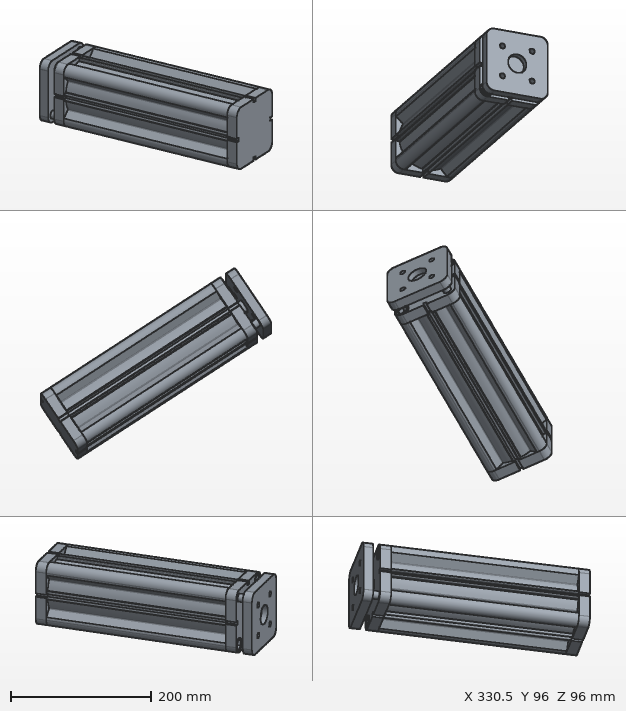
import cadquery as cq
import math

LENGTH = 330.5
SIDE = 96.0
CORNER_RADIUS = 12.0
TOP = SIDE / 2
CORNER_CENTRE = TOP - CORNER_RADIUS

PLATE_THICKNESS = 14.2
CAP_START = 24.0
CAP_THICKNESS = 16.2
BARREL_START = CAP_START + CAP_THICKNESS
BARREL_END = LENGTH - CAP_THICKNESS
BARREL_LENGTH = BARREL_END - BARREL_START
ROD_LENGTH = BARREL_START - PLATE_THICKNESS

PLATE_BORE_RADIUS = 14.2
PLATE_BORE_DEPTH = 9.3
MOUNTING_HOLE_RADIUS = 4.0
MOUNTING_HOLE_OFFSET = 23.0

GUIDE_RADIUS = 6.0
PISTON_ROD_RADIUS = 10.5
FLAT_DISTANCE = 9.0
FLAT_END = 20.0
FLAT_RUNOUT_END = 20.8

CAP_SLOT_WIDTH = 5.3
CAP_SLOT_DEPTH = 5.3
SCREW_RECESS_RADIUS = 10.0
SCREW_RECESS_DEPTH = 0.5
HEX_ACROSS_FLATS = 14.0
HEX_DEPTH = 7.5

TUBE_RADIUS = 42.5
VALLEY_OFFSET = 22.0
VALLEY_ROUND = 0.83
LOBE_EDGE = 32.0
CHANNEL_WIDTH = 13.2
CHANNEL_FLOOR = 41.5
LIP_OUTER_WIDTH = 11.2
LIP_TOP = 46.0
LIP_ROUND = 0.83
SLOT_WIDTH = 5.3
SLOT_FLOOR = 41.3

GUIDE_POINTS = [(sign * CORNER_CENTRE, sign * CORNER_CENTRE) for sign in (-1, 1)]
SCREW_POINTS = [(sign * CORNER_CENTRE, -sign * CORNER_CENTRE) for sign in (-1, 1)]
MOUNTING_POINTS = [
    (y_sign * MOUNTING_HOLE_OFFSET, z_sign * MOUNTING_HOLE_OFFSET)
    for y_sign in (-1, 1)
    for z_sign in (-1, 1)
]
SIDE_ANGLES = [0, 90, 180, 270]


def section(x):
    """Workplane across the part at x, with its local axes along Y and Z."""
    return cq.Workplane("YZ", origin=(x, 0, 0))


def rounded_block(start, thickness):
    block = section(start).rect(SIDE, SIDE).extrude(thickness)
    return block.edges("|X").fillet(CORNER_RADIUS)


def top_strip(start, length, width, bottom, top):
    """Bar along X, centred in Y, between two heights."""
    return section(start).center(0, (bottom + top) / 2).rect(width, top - bottom).extrude(length)


def cut_on_all_sides(body, cutter):
    """Cut the same shape from the top, bottom and both flanks."""
    for angle in SIDE_ANGLES:
        body = body.cut(cutter.rotate((0, 0, 0), (1, 0, 0), angle))
    return body


def make_yoke():
    """End plate carrying the two guide rods."""
    plate = rounded_block(0, PLATE_THICKNESS)
    bore = section(0).circle(PLATE_BORE_RADIUS).extrude(PLATE_BORE_DEPTH)
    holes = section(0).pushPoints(MOUNTING_POINTS).circle(MOUNTING_HOLE_RADIUS).extrude(PLATE_THICKNESS)
    rods = section(PLATE_THICKNESS).pushPoints(GUIDE_POINTS).circle(GUIDE_RADIUS).extrude(ROD_LENGTH)
    return plate.cut(bore).cut(holes).union(rods)


def make_piston_rod():
    """Rod with two wrench flats that run out on a short slope."""
    rod = section(PLATE_THICKNESS).circle(PISTON_ROD_RADIUS).extrude(ROD_LENGTH)
    flat_cutter = (
        cq.Workplane("XY")
        .moveTo(PLATE_THICKNESS, FLAT_DISTANCE)
        .lineTo(FLAT_END, FLAT_DISTANCE)
        .lineTo(FLAT_RUNOUT_END, PISTON_ROD_RADIUS)
        .lineTo(PLATE_THICKNESS, PISTON_ROD_RADIUS)
        .close()
        .extrude(PISTON_ROD_RADIUS, both=True)
    )
    return rod.cut(flat_cutter).cut(flat_cutter.mirror("XZ"))


def make_cap(start):
    """End cap with a sensor slot in the middle of each side."""
    slot = top_strip(start, CAP_THICKNESS, CAP_SLOT_WIDTH, TOP - CAP_SLOT_DEPTH, TOP)
    return cut_on_all_sides(rounded_block(start, CAP_THICKNESS), slot)


def screw_socket(y, z):
    """Shallow round recess around a hex socket that has two flats facing along Y."""
    recess = section(CAP_START).circle(SCREW_RECESS_RADIUS).extrude(SCREW_RECESS_DEPTH)
    across_corners = HEX_ACROSS_FLATS / math.cos(math.pi / 6)
    socket = section(CAP_START).polygon(6, across_corners).extrude(HEX_DEPTH)
    socket = socket.rotate((0, 0, 0), (1, 0, 0), 90)
    return recess.union(socket).translate((0, y, z))


def make_front_cap():
    """Cap with holes for the rods and sockets for the clamping screws."""
    cap = make_cap(CAP_START)
    guide_holes = section(CAP_START).pushPoints(GUIDE_POINTS).circle(GUIDE_RADIUS).extrude(CAP_THICKNESS)
    rod_hole = section(CAP_START).circle(PISTON_ROD_RADIUS).extrude(CAP_THICKNESS)
    cap = cap.cut(guide_holes).cut(rod_hole)
    for y, z in SCREW_POINTS:
        cap = cap.cut(screw_socket(y, z))
    return cap


def make_side_hollow():
    """Space between two corner lobes, above the round tube."""
    valley_height = math.sqrt(TUBE_RADIUS**2 - VALLEY_OFFSET**2)
    lobe_height = CORNER_CENTRE + math.sqrt(CORNER_RADIUS**2 - (CORNER_CENTRE - LOBE_EDGE) ** 2)
    middle_offset = (CORNER_CENTRE + LOBE_EDGE) / 2
    middle_height = CORNER_CENTRE + math.sqrt(CORNER_RADIUS**2 - (CORNER_CENTRE - middle_offset) ** 2)
    hollow = (
        section(BARREL_START)
        .moveTo(-VALLEY_OFFSET, valley_height)
        .threePointArc((0, TUBE_RADIUS), (VALLEY_OFFSET, valley_height))
        .lineTo(LOBE_EDGE, lobe_height)
        .threePointArc((middle_offset, middle_height), (CORNER_CENTRE, TOP))
        .lineTo(-CORNER_CENTRE, TOP)
        .threePointArc((-middle_offset, middle_height), (-LOBE_EDGE, lobe_height))
        .close()
        .extrude(BARREL_LENGTH)
    )
    return hollow.edges("<Z").fillet(VALLEY_ROUND)


def make_slot_lips():
    """Pair of ribs along the sensor slot, rounded on top."""
    ribs = top_strip(BARREL_START, BARREL_LENGTH, LIP_OUTER_WIDTH, CHANNEL_FLOOR, LIP_TOP)
    ribs = ribs.cut(top_strip(BARREL_START, BARREL_LENGTH, SLOT_WIDTH, CHANNEL_FLOOR, LIP_TOP))
    return ribs.faces(">Z").edges("|X").fillet(LIP_ROUND)


def make_barrel():
    """Profiled tube between the caps."""
    channel = top_strip(BARREL_START, BARREL_LENGTH, CHANNEL_WIDTH, CHANNEL_FLOOR, TOP)
    slot = top_strip(BARREL_START, BARREL_LENGTH, SLOT_WIDTH, SLOT_FLOOR, TOP)
    side_cutter = make_side_hollow().union(channel).cut(make_slot_lips()).union(slot)
    return cut_on_all_sides(rounded_block(BARREL_START, BARREL_LENGTH), side_cutter)


yoke = make_yoke()
piston_rod = make_piston_rod()
front_cap = make_front_cap()
barrel = make_barrel()
rear_cap = make_cap(BARREL_END)

result = cq.Compound.makeCompound(
    [yoke.val(), piston_rod.val(), front_cap.val(), barrel.val(), rear_cap.val()]
)